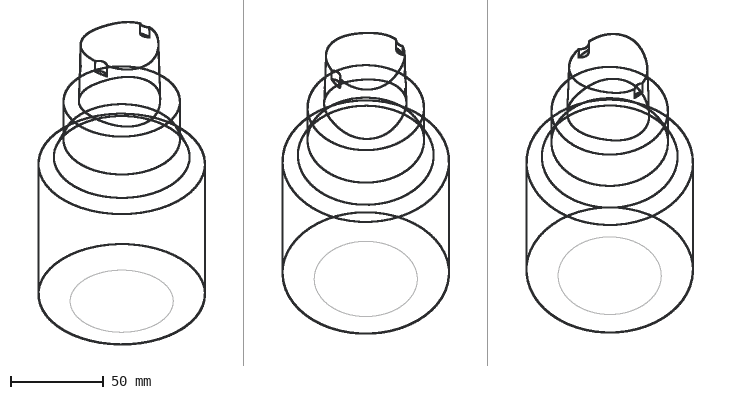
import cadquery as cq
import math

total_height = 173.0
shoulder_z = 135.1
collar_bottom_z = 109.5
flare_break_z = 97.5
body_top_z = 92.9
body_bottom_z = 4.7

body_radius = 90.0 / 2
collar_radius = 63.0 / 2
flare_break_radius = 36.7
bottom_face_radius = 27.9

shank_base_radius = 22.0
shank_taper = 1 / 20
lobe_rise = 1.2
lobe_count = 3
outline_points = 48

notch_radius = 4.7
notch_depth = 7.0
front_notch_floor_y = -17.6
back_notch_floor_y = 21.0


def turned_body():
    """Solid of revolution from the bottom cone up to the shoulder."""
    profile = [
        (0, 0),
        (bottom_face_radius, 0),
        (body_radius, body_bottom_z),
        (body_radius, body_top_z),
        (flare_break_radius, flare_break_z),
        (collar_radius, collar_bottom_z),
        (collar_radius, shoulder_z),
        (0, shoulder_z),
    ]
    return cq.Workplane("XZ").polyline(profile).close().revolve(360, (0, 0), (0, 1))


def lobed_outline(mean_radius, z):
    """Closed three-lobed curve, with one lobe on +Y and the seam on -Y."""
    points = []
    for i in range(outline_points):
        turn = 2 * math.pi * i / outline_points
        radius = mean_radius - lobe_rise * math.cos(lobe_count * turn)
        points.append(cq.Vector(radius * math.sin(turn), -radius * math.cos(turn), z))
    return cq.Wire.assembleEdges([cq.Edge.makeSpline(points, periodic=True)])


def shank():
    """Tapered shank standing on the shoulder."""
    top_radius = shank_base_radius - shank_taper / 2 * (total_height - shoulder_z)
    base = lobed_outline(shank_base_radius, shoulder_z)
    top = lobed_outline(top_radius, total_height)
    return cq.Workplane(cq.Solid.makeLoft([base, top]))


def shank_notches():
    """Vertical cylinders that cut the front and back notches."""
    centers = [
        (0, front_notch_floor_y - notch_radius),
        (0, back_notch_floor_y + notch_radius),
    ]
    return (
        cq.Workplane("XY", origin=(0, 0, total_height - notch_depth))
        .pushPoints(centers)
        .circle(notch_radius)
        .extrude(notch_depth)
    )


result = turned_body().union(shank()).cut(shank_notches())